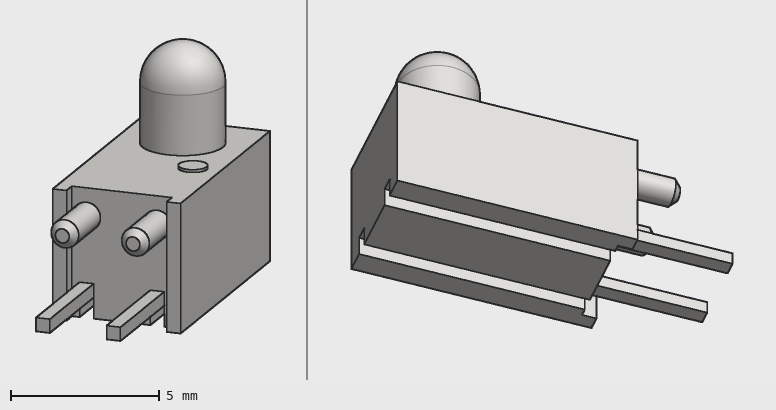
import cadquery as cq
import math

housing_width = 4.6
housing_height = housing_width
housing_length = 8.6

wall_thickness = 0.5
recess_depth = 0.52
recess_width = housing_width - 2 * wall_thickness

total_height = 8.2
lens_diameter = 2.9
lens_radius = lens_diameter / 2
lens_to_back = 2.25
lens_y = housing_length - lens_to_back
dome_base_z = total_height - lens_radius

pad_diameter = 1.0
pad_thickness = 0.1
pad_x = 1.31
pad_to_lens = 2.52
pad_y = lens_y - pad_to_lens

pitch = 2.54
peg_diameter = 1.0
peg_tip_diameter = peg_diameter / 2
peg_tip_taper = (peg_diameter - peg_tip_diameter) / 2
peg_projection = 1.82
peg_axis_below_top = 1.01
peg_z = housing_height - peg_axis_below_top

total_length = 12.28
lead_width = 0.5
lead_thickness = 0.49
lead_projection = total_length - housing_length
slot_height = 0.75


def box(width, length, height, x, front_y, bottom_z):
    """Block centred on x, running back from front_y and up from bottom_z."""
    block = cq.Workplane("XY").box(width, length, height, centered=(True, False, False))
    return block.translate((x, front_y, bottom_z))


def make_housing():
    block = box(housing_width, housing_length, housing_height, 0, 0, 0)
    return block.cut(box(recess_width, recess_depth, housing_height, 0, 0, 0))


def make_lens():
    """Cylinder capped by a hemisphere, revolved about its vertical axis."""
    diagonal = lens_radius / math.sqrt(2)
    return (
        cq.Workplane("XZ")
        .moveTo(0, housing_height)
        .lineTo(lens_radius, housing_height)
        .lineTo(lens_radius, dome_base_z)
        .threePointArc((diagonal, dome_base_z + diagonal), (0, total_height))
        .close()
        .revolve(360, (0, 0), (0, 1))
        .translate((0, lens_y, 0))
    )


def make_pad():
    pad = cq.Workplane("XY").circle(pad_diameter / 2).extrude(pad_thickness)
    return pad.translate((pad_x, pad_y, housing_height))


def make_peg(x):
    """Round peg from the recess floor, tapered at its free end."""
    return (
        cq.Workplane("XZ")
        .circle(peg_diameter / 2)
        .extrude(recess_depth + peg_projection)
        .faces("<Y")
        .chamfer(peg_tip_taper)
        .translate((x, recess_depth, peg_z))
    )


def make_lead(x):
    """Lead bar that reaches from its free end to the recess floor."""
    length = lead_projection + recess_depth
    return box(lead_width, length, lead_thickness, x, -lead_projection, slot_height)


def make_slot(x):
    """Open slot below a lead, running the full length of the housing."""
    return box(lead_width, housing_length, slot_height, x, 0, 0)


result = make_housing().union(make_lens()).union(make_pad())

for x in (-pitch / 2, pitch / 2):
    result = result.cut(make_slot(x)).union(make_peg(x)).union(make_lead(x))